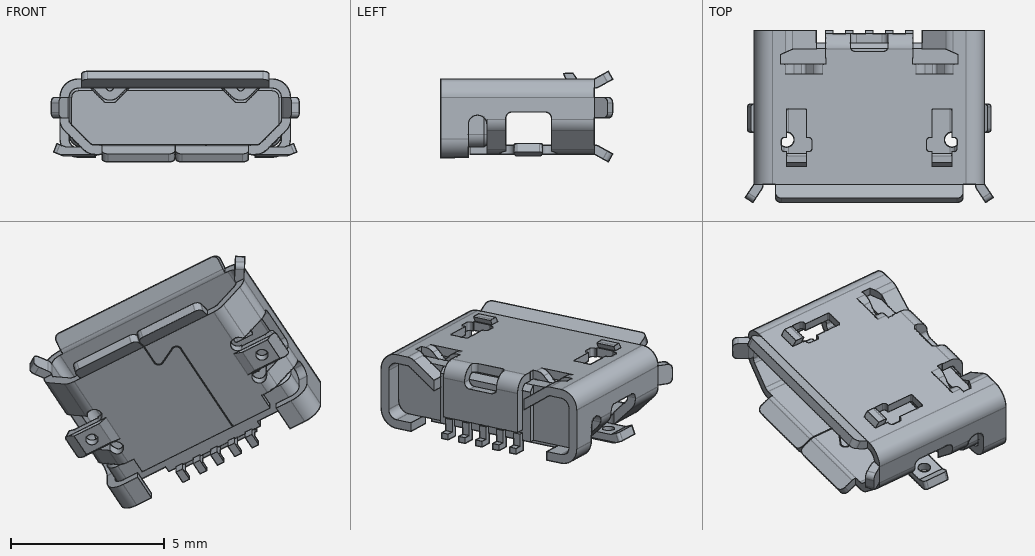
import cadquery as cq
import math

SHEET = 0.30
SHELL_LENGTH = 5.00
SHELL_HEIGHT = 2.45
HALF_WIDTH = 3.75
TOP_RADIUS = 0.60
BEVEL = 0.917
BEVEL_RADIUS = 0.52
BEVELED_LENGTH = 3.50
INNER_HALF_WIDTH = HALF_WIDTH - SHEET
CEILING = SHELL_HEIGHT - SHEET
COS45 = math.sqrt(0.5)

LEG_FRONT = 4.10
LEG_BOTTOM = -0.10
LEG_TOE = 2.60
SLOT_TOP = 1.27
SLOT_RADIUS = 0.295
FLOOR_END = 4.05
FLOOR_END_HALF_WIDTH = 2.40

LIP_REACH = 0.453
LIP_ANGLE = 29.0
LIP_CORNER = 0.20
TOP_LIP_HALF_WIDTH = 3.05
BOTTOM_LIP_HALF_WIDTH = 2.38
SIDE_LIP_REACH = 0.43
SIDE_LIP_ANGLE = 33.5
SIDE_LIP_LOW = 1.18
SIDE_LIP_HIGH = 1.85
SIDE_LIP_CORNER = 0.18

SEAM_WIDTH = 0.03
SEAM_SHIFT = 1.00
SEAM_TURN_Y = (0.95, 0.39)
SEAM_RADIUS = 0.155

WINDOW_Y = (1.40, 2.88)
WINDOW_TOP = 1.37
WINDOW_CORNER = 0.20
WINDOW_INNER_X = 2.69
RELIEF_RADIUS = 0.24
TAB_MID_Y = 2.15
TAB_WIDTH = 0.92
TAB_ROOT_X = 2.40
TAB_DROP = 0.06
TAB_BEND_X = 3.63
TAB_TIP_X = 3.96
TAB_TIP_ANGLE = 22.0
TAB_CORNER = 0.10
TAB_UNDERSIDE_CHAMFER = 0.06
TAB_HOLE_DIAMETER = 0.40
TAB_HOLE_X = 3.19

LATCH_X = 2.36
LATCH_STEM_WIDTH = 0.65
LATCH_STEM_Y = (0.99, 2.45)
LATCH_ARM_WIDTH = 0.99
LATCH_ARM_Y = (1.06, 1.52)
LATCH_CORNER = 0.10
LATCH_STEM_CORNER = 0.05
BARB_HEIGHT = 0.19
BARB_FOOT_Y = 0.52
BARB_ROOT_Y = (0.57, 0.93)
BARB_CREST_Y = (0.70, 0.925)
BARB_TIP_Y = 1.007
BARB_TIP_DROP = 0.02

REAR_CUT_Y = 4.40
BEND_X = 2.723
BEND_RADIUS = 0.40
LUG_END_X = 1.72
LUG_ANGLE = 35.0
SLIT_X = (1.40, 2.886)
SLIT_FRONT = 3.91
SLIT_CORNER_Y = 4.22
SLIT_CORNER_X = 2.47
DIMPLE_X = 2.124
DIMPLE_Y = (3.59, 3.91)
FLAP_HALF_WIDTH = 1.42
FLAP_RADIUS = 0.50
FLAP_BOTTOM = 0.60
FLAP_NOTCH_HALF_WIDTH = 0.61
FLAP_NOTCH_FRONT = 4.32
FLAP_NOTCH_BOTTOM = 1.75
FLAP_NOTCH_CORNER = 0.15
FLAP_NOTCH_LOWER_CORNER = 0.20

BLOCK_BOTTOM = 0.24
BLOCK_BOTTOM_RADIUS = 0.40
BLOCK_REAR = 4.60
BLOCK_CHAMFER = 0.085
BLOCK_REAR_CHAMFER = 0.19
BLOCK_NOTCH_BOTTOM = 1.68
BLOCK_NOTCH_FLOOR = 0.32

CONTACT_COUNT = 5
CONTACT_PITCH = 0.65
CONTACT_WIDTH = 0.25
CONTACT_FRONT = 4.55
CONTACT_BOTTOM = -0.12
CONTACT_THICKNESS = 0.20
CONTACT_RISER_TOP = 0.50


def box(x_range, y_range, z_range):
    size = [high - low for low, high in (x_range, y_range, z_range)]
    return cq.Workplane("XY").box(*size, centered=False).translate((x_range[0], y_range[0], z_range[0]))


def both_sides(body):
    """The body together with its mirror image across the YZ plane."""
    return body.union(body.mirror("YZ"))


def along_y(outline, y_range):
    """Extrude a closed XZ sketch made on Workplane('XZ') over a Y range."""
    return outline.extrude(-(y_range[1] - y_range[0])).translate((0, y_range[0], 0))


def beveled_prism(inset, y_range):
    """Solid filling the mouth section of the shell, shrunk by inset."""
    half = HALF_WIDTH - inset
    bevel = BEVEL - inset * (2 - math.sqrt(2))
    body = box((-half, half), y_range, (inset, SHELL_HEIGHT - inset))
    body = body.edges("|Y and >Z").fillet(TOP_RADIUS - inset)
    body = body.edges("|Y and <Z").chamfer(bevel)
    lower_edges = cq.selectors.BoxSelector(
        (-2 * HALF_WIDTH, -SHELL_LENGTH, -SHELL_HEIGHT),
        (2 * HALF_WIDTH, 2 * SHELL_LENGTH, SHELL_HEIGHT / 2),
    )
    return body.edges("|Y").edges(lower_edges).fillet(BEVEL_RADIUS - inset)


def straight_prism(inset, y_range):
    """Solid filling the rear section, where the sides run down to the legs."""
    half = HALF_WIDTH - inset
    body = box((-half, half), y_range, (LEG_BOTTOM + inset, SHELL_HEIGHT - inset))
    return body.edges("|Y").fillet(TOP_RADIUS - inset)


def make_tube():
    front_y = (0, BEVELED_LENGTH)
    rear_y = (BEVELED_LENGTH, SHELL_LENGTH)
    front = beveled_prism(0, front_y).cut(beveled_prism(SHEET, front_y))
    rear = straight_prism(0, rear_y).cut(straight_prism(SHEET, rear_y))
    toe_gap = box((-LEG_TOE, LEG_TOE), rear_y, (LEG_BOTTOM, LEG_BOTTOM + SHEET))
    slot = (
        box((-HALF_WIDTH, HALF_WIDTH), (BEVELED_LENGTH, LEG_FRONT), (LEG_BOTTOM, SLOT_TOP))
        .edges("|X and >Z").fillet(SLOT_RADIUS)
    )
    floor = box((-FLOOR_END_HALF_WIDTH, FLOOR_END_HALF_WIDTH), (BEVELED_LENGTH, FLOOR_END), (0, SHEET))
    return front.union(rear.cut(toe_gap).cut(slot)).union(floor)


def lip_section(plane, reach, angle):
    """Section of a flared lip: outer face starts at the origin and rises while going along -X."""
    slope = math.radians(angle)
    rise = reach * math.tan(slope)
    tip_shift = SHEET * math.sin(slope)
    tip_drop = SHEET * math.cos(slope)
    bend_middle = (-SHEET * math.sin(slope / 2), -SHEET * math.cos(slope / 2))
    return (
        cq.Workplane(plane)
        .moveTo(0, 0)
        .lineTo(-reach, rise)
        .lineTo(-reach - tip_shift, rise - tip_drop)
        .lineTo(-tip_shift, -tip_drop)
        .threePointArc(bend_middle, (0, -SHEET))
        .close()
    )


def make_wide_lip(width):
    """Upward lip over X from 0 to width with rounded tip corners."""
    lip = lip_section("YZ", LIP_REACH, LIP_ANGLE).extrude(width)
    tip_corners = lip.faces("<Y").edges("not |X")
    return tip_corners.fillet(LIP_CORNER)


def make_lips():
    top = make_wide_lip(2 * TOP_LIP_HALF_WIDTH).translate((-TOP_LIP_HALF_WIDTH, 0, SHELL_HEIGHT))
    half_bottom = make_wide_lip(BOTTOM_LIP_HALF_WIDTH - SEAM_WIDTH / 2).mirror("XY")
    half_bottom = half_bottom.translate((SEAM_WIDTH / 2, 0, 0))
    side = lip_section("YX", SIDE_LIP_REACH, SIDE_LIP_ANGLE).extrude(SIDE_LIP_LOW - SIDE_LIP_HIGH)
    side = side.translate((HALF_WIDTH, 0, SIDE_LIP_LOW))
    side = side.faces("<Y").edges("not |Z").fillet(SIDE_LIP_CORNER)
    return top.union(both_sides(half_bottom)).union(both_sides(side))


def make_seam():
    """Thin S-shaped slit where the two halves of the floor meet."""
    first_y, second_y = SEAM_TURN_Y
    lean = math.atan2(first_y - second_y, SEAM_SHIFT)
    turn = math.pi / 2 + lean
    setback = SEAM_RADIUS * math.tan(turn / 2)
    along_x = setback * math.cos(lean)
    along_drop = setback * math.sin(lean)
    path = (
        cq.Workplane("XY", origin=(0, 0, SHEET / 2))
        .lineTo(0, first_y - setback)
        .radiusArc((along_x, first_y - along_drop), SEAM_RADIUS)
        .lineTo(SEAM_SHIFT - along_x, second_y + along_drop)
        .radiusArc((SEAM_SHIFT, second_y + setback), -SEAM_RADIUS)
        .lineTo(SEAM_SHIFT, FLOOR_END)
    )
    profile = cq.Workplane("XZ", origin=(0, 0, SHEET / 2)).rect(SEAM_WIDTH, SHEET)
    return profile.sweep(path)


def make_side_openings():
    window = (
        box((WINDOW_INNER_X, HALF_WIDTH), WINDOW_Y, (0, WINDOW_TOP))
        .edges("|X and >Z").fillet(WINDOW_CORNER)
    )
    relief_offset = TAB_WIDTH / 2 + RELIEF_RADIUS
    reliefs = (
        cq.Workplane("XY")
        .pushPoints([(WINDOW_INNER_X, TAB_MID_Y + side * relief_offset) for side in (-1, 1)])
        .circle(RELIEF_RADIUS).extrude(BEVEL)
    )
    return both_sides(window.union(reliefs))


def make_tab():
    """Solder tab stepping down from the floor, then tilting up at its tip."""
    slope = math.radians(TAB_TIP_ANGLE)
    tip_rise = (TAB_TIP_X - TAB_BEND_X) * math.tan(slope)
    low = -TAB_DROP
    high = SHEET - TAB_DROP
    outline = (
        cq.Workplane("XZ")
        .moveTo(TAB_ROOT_X, 0)
        .lineTo(WINDOW_INNER_X, low)
        .lineTo(TAB_BEND_X, low)
        .lineTo(TAB_TIP_X, low + tip_rise)
        .lineTo(TAB_TIP_X - SHEET * math.sin(slope), low + tip_rise + SHEET * math.cos(slope))
        .lineTo(TAB_BEND_X - SHEET * math.tan(slope / 2), high)
        .lineTo(WINDOW_INNER_X, high)
        .lineTo(TAB_ROOT_X, SHEET)
        .close()
    )
    tab = along_y(outline, (TAB_MID_Y - TAB_WIDTH / 2, TAB_MID_Y + TAB_WIDTH / 2))
    tab = tab.faces(">X").edges("not |Y").fillet(TAB_CORNER)
    tab = tab.faces("<Z").edges("|X").chamfer(TAB_UNDERSIDE_CHAMFER)
    hole = (
        cq.Workplane("XY", origin=(TAB_HOLE_X, TAB_MID_Y, low))
        .circle(TAB_HOLE_DIAMETER / 2).extrude(SHEET)
    )
    return tab.cut(hole)


def make_latch_opening():
    z_range = (CEILING, SHELL_HEIGHT)
    stem_x = (LATCH_X - LATCH_STEM_WIDTH / 2, LATCH_X + LATCH_STEM_WIDTH / 2)
    arm_x = (LATCH_X - LATCH_ARM_WIDTH / 2, LATCH_X + LATCH_ARM_WIDTH / 2)
    stem = box(stem_x, LATCH_STEM_Y, z_range).edges("|Z and >Y").fillet(LATCH_STEM_CORNER)
    arm = box(arm_x, LATCH_ARM_Y, z_range).edges("|Z").fillet(LATCH_CORNER)
    return stem.union(arm)


def make_barb():
    """Free end of the latch, leaning backward above the top face."""
    crest = SHELL_HEIGHT + BARB_HEIGHT
    return (
        cq.Workplane("YZ", origin=(LATCH_X - LATCH_STEM_WIDTH / 2, 0, 0))
        .polyline([
            (BARB_FOOT_Y, CEILING),
            (BARB_ROOT_Y[0], SHELL_HEIGHT),
            (BARB_CREST_Y[0], crest),
            (BARB_CREST_Y[1], crest),
            (BARB_TIP_Y, crest - BARB_TIP_DROP),
            (BARB_ROOT_Y[1], SHELL_HEIGHT),
            (BARB_ROOT_Y[1], CEILING),
        ])
        .close()
        .extrude(LATCH_STEM_WIDTH)
    )


def make_slit(z_range):
    """Opening between a lug and a dimple, with a slanted rear outer corner."""
    return (
        cq.Workplane("XY", origin=(0, 0, z_range[0]))
        .polyline([
            (SLIT_X[0], SLIT_FRONT),
            (SLIT_X[1], SLIT_FRONT),
            (SLIT_X[1], SLIT_CORNER_Y),
            (SLIT_CORNER_X, REAR_CUT_Y),
            (SLIT_X[0], REAR_CUT_Y),
        ])
        .close()
        .extrude(z_range[1] - z_range[0])
    )


def make_rear_cuts():
    z_range = (CEILING, SHELL_HEIGHT)
    edge = box((-BEND_X, BEND_X), (REAR_CUT_Y, SHELL_LENGTH), z_range)
    lug_room = box((SLIT_X[0], BEND_X), (SLIT_CORNER_Y, SHELL_LENGTH), z_range)
    dimple_half = BEND_X - DIMPLE_X
    dimple = box((DIMPLE_X - dimple_half, DIMPLE_X + dimple_half), DIMPLE_Y, z_range)
    return edge.union(both_sides(make_slit(z_range).union(lug_room).union(dimple)))


def make_lug():
    """Rear edge strip bent down toward the middle."""
    inner_radius = BEND_RADIUS - SHEET
    centre_z = SHELL_HEIGHT - BEND_RADIUS
    slope = math.radians(LUG_ANGLE)

    def bend_point(radius, angle):
        return (BEND_X - radius * math.sin(angle), centre_z + radius * math.cos(angle))

    def end_point(start):
        return (LUG_END_X, start[1] - (start[0] - LUG_END_X) * math.tan(slope))

    outer_end = bend_point(BEND_RADIUS, slope)
    inner_end = bend_point(inner_radius, slope)
    outline = (
        cq.Workplane("XZ")
        .moveTo(BEND_X, SHELL_HEIGHT)
        .threePointArc(bend_point(BEND_RADIUS, slope / 2), outer_end)
        .lineTo(*end_point(outer_end))
        .lineTo(*end_point(inner_end))
        .lineTo(*inner_end)
        .threePointArc(bend_point(inner_radius, slope / 2), (BEND_X, CEILING))
        .close()
    )
    lug = along_y(outline, (SLIT_CORNER_Y, SHELL_LENGTH))
    return lug.cut(make_slit((0, SHELL_HEIGHT)))


def make_dimple():
    """V-shaped strip pressed down from the top, with rounded bends."""
    half = BEND_X - DIMPLE_X
    tight = BEND_RADIUS - SHEET
    run = half - (BEND_RADIUS + tight) * COS45
    drop = run + (BEND_RADIUS + tight) * (1 - COS45)

    def face(crest_radius, valley_radius, crest_z):
        """Points of one face of the strip from the left crest to the right crest."""
        crest_dx = crest_radius * COS45
        crest_dz = crest_radius * (1 - COS45)
        valley_dx = valley_radius * COS45
        valley_dz = valley_radius * (1 - COS45)
        valley_z = crest_z - drop
        turn = math.pi / 8
        mid_dx = crest_radius * math.sin(turn)
        mid_dz = crest_radius * (1 - math.cos(turn))
        return [
            (-half, crest_z),
            (-half + mid_dx, crest_z - mid_dz),
            (-half + crest_dx, crest_z - crest_dz),
            (-valley_dx, valley_z + valley_dz),
            (0, valley_z),
            (valley_dx, valley_z + valley_dz),
            (half - crest_dx, crest_z - crest_dz),
            (half - mid_dx, crest_z - mid_dz),
            (half, crest_z),
        ]

    top = face(BEND_RADIUS, tight, SHELL_HEIGHT)
    under = face(tight, BEND_RADIUS, CEILING)
    under.reverse()

    def trace(outline, points):
        """Continue an outline from the first point along bend, slope, valley, slope and bend."""
        return (
            outline.threePointArc(points[1], points[2])
            .lineTo(*points[3])
            .threePointArc(points[4], points[5])
            .lineTo(*points[6])
            .threePointArc(points[7], points[8])
        )

    outline = trace(cq.Workplane("XZ").moveTo(*top[0]), top)
    outline = trace(outline.lineTo(*under[0]), under)
    return along_y(outline.close(), DIMPLE_Y).translate((DIMPLE_X, 0, 0))


def make_flap():
    """Middle of the top bent down behind the insulator."""
    rear_y = REAR_CUT_Y + FLAP_RADIUS
    flap_x = (-FLAP_HALF_WIDTH, FLAP_HALF_WIDTH)
    front_y = REAR_CUT_Y - SHEET
    outer = box(flap_x, (front_y, rear_y), (FLAP_BOTTOM, SHELL_HEIGHT))
    outer = outer.faces(">Y").edges(">Z").fillet(FLAP_RADIUS)
    inner = box(flap_x, (front_y, rear_y - SHEET), (FLAP_BOTTOM, CEILING))
    inner = inner.faces(">Y").edges(">Z").fillet(FLAP_RADIUS - SHEET)
    return outer.cut(inner)


def make_flap_notch():
    notch = box(
        (-FLAP_NOTCH_HALF_WIDTH, FLAP_NOTCH_HALF_WIDTH),
        (FLAP_NOTCH_FRONT, SHELL_LENGTH),
        (FLAP_NOTCH_BOTTOM, SHELL_HEIGHT),
    )
    notch = notch.edges("|Y and <Z").fillet(FLAP_NOTCH_LOWER_CORNER)
    return notch.faces("<Y").edges("|Z").fillet(FLAP_NOTCH_CORNER)


def make_block():
    """Insulator filling the rear of the bore, notched under the dimples."""
    block = box(
        (-INNER_HALF_WIDTH, INNER_HALF_WIDTH), (BEVELED_LENGTH, REAR_CUT_Y), (BLOCK_BOTTOM, CEILING))
    block = block.edges("|Y and >Z").fillet(TOP_RADIUS - SHEET)
    block = block.edges("|Y and <Z").fillet(BLOCK_BOTTOM_RADIUS)
    floor_half = BLOCK_NOTCH_FLOOR / 2
    top_half = floor_half + CEILING - BLOCK_NOTCH_BOTTOM
    notch_outline = (
        cq.Workplane("XZ")
        .polyline([
            (DIMPLE_X - top_half, CEILING),
            (DIMPLE_X - floor_half, BLOCK_NOTCH_BOTTOM),
            (DIMPLE_X + floor_half, BLOCK_NOTCH_BOTTOM),
            (DIMPLE_X + top_half, CEILING),
        ])
        .close()
    )
    notch = along_y(notch_outline, (BEVELED_LENGTH, DIMPLE_Y[1]))
    block = block.faces("<Y").edges().chamfer(BLOCK_CHAMFER)
    block = block.cut(both_sides(notch))
    back = box((-LUG_END_X, LUG_END_X), (REAR_CUT_Y, BLOCK_REAR), (BLOCK_BOTTOM, CEILING))
    back = back.edges("|X and >Y and >Z").chamfer(BLOCK_REAR_CHAMFER)
    return block.union(back)


def make_contacts():
    tails = cq.Workplane("XY")
    for index in range(CONTACT_COUNT):
        middle = (index - (CONTACT_COUNT - 1) / 2) * CONTACT_PITCH
        x_range = (middle - CONTACT_WIDTH / 2, middle + CONTACT_WIDTH / 2)
        foot_z = (CONTACT_BOTTOM, CONTACT_BOTTOM + CONTACT_THICKNESS)
        foot = box(x_range, (CONTACT_FRONT, SHELL_LENGTH), foot_z)
        riser_y = (CONTACT_FRONT, CONTACT_FRONT + CONTACT_THICKNESS)
        riser = box(x_range, riser_y, (CONTACT_BOTTOM, CONTACT_RISER_TOP))
        tails = tails.union(foot).union(riser)
    return tails


shell = make_tube()
shell = shell.cut(make_seam())
shell = shell.cut(make_side_openings())
shell = shell.cut(both_sides(make_latch_opening()))
shell = shell.cut(make_rear_cuts())
shell = shell.union(make_lips())
for detail in (make_tab(), make_barb(), make_lug(), make_dimple()):
    shell = shell.union(both_sides(detail))
shell = shell.union(make_flap()).cut(make_flap_notch())

result = shell.union(make_block()).union(make_contacts())